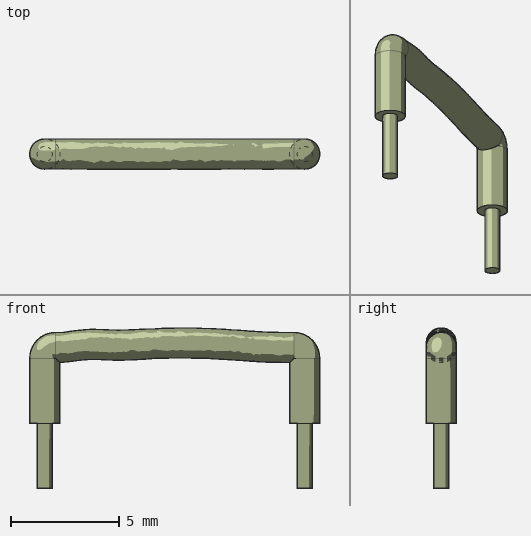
import cadquery as cq

leg_spacing = 12.0
wire_diameter = 1.4
pin_diameter = 0.7
pin_length = 3.0
sleeve_length = 3.0
bend_radius = 0.5
bend_angle = 90.0

wire_radius = wire_diameter / 2
leg_x = leg_spacing / 2
span_end_x = leg_x - bend_radius
span_end_z = sleeve_length + bend_radius

span_waypoints = [
    (-4.0, 0.14),
    (-2.8, 0.11),
    (-1.3, 0.16),
    (1.0, 0.2),
    (3.4, 0.07),
]


def make_leg(x):
    """Thick sleeve standing on a thin solder pin."""
    sleeve = cq.Workplane("XY").center(x, 0).circle(wire_radius).extrude(sleeve_length)
    pin = cq.Workplane("XY").center(x, 0).circle(pin_diameter / 2).extrude(-pin_length)
    return sleeve.union(pin)


def make_left_elbow():
    """Quarter bend about a Y axis that lies inside the wire.

    The round section is cut off at the bend axis so the sweep does not cross itself.
    """
    half_chord = (wire_radius**2 - bend_radius**2) ** 0.5
    return (
        cq.Workplane("XY", origin=(-span_end_x, 0, sleeve_length))
        .moveTo(0, -half_chord)
        .threePointArc((-bend_radius - wire_radius, 0), (0, half_chord))
        .close()
        .revolve(bend_angle, (0, 0), (0, 1))
    )


def make_crossbar():
    """Round wire swept along the wavy centreline, leaving both elbows along X."""
    centreline_points = [(-span_end_x, span_end_z)]
    centreline_points += [(x, span_end_z + rise) for x, rise in span_waypoints]
    centreline_points += [(span_end_x, span_end_z)]
    centreline = cq.Workplane("XZ").spline(centreline_points, tangents=[(1, 0), (1, 0)])
    start_section = cq.Workplane("YZ", origin=(-span_end_x, 0, span_end_z)).circle(wire_radius)
    return start_section.sweep(centreline)


left_elbow = make_left_elbow()
right_elbow = left_elbow.mirror("YZ")

result = make_crossbar().union(left_elbow).union(right_elbow)
for side in (-1, 1):
    result = result.union(make_leg(side * leg_x))